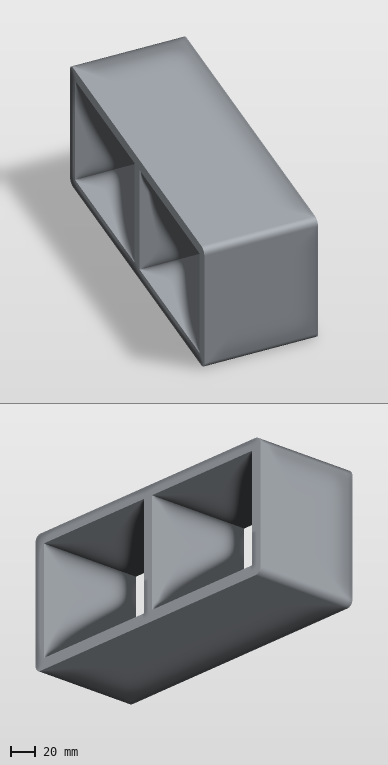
import cadquery as cq

length = 271.0
depth = 100.0
height = 121.0

wall = 10.0
corner_radius = 6.0

bay_count = 2
bay_width = (length - (bay_count + 1) * wall) / bay_count
bay_height = height - 2 * wall
bay_pitch = bay_width + wall

body = cq.Workplane("XY").box(length, depth, height).edges("|Y").fillet(corner_radius)

bays = (
    cq.Workplane("XZ")
    .rarray(bay_pitch, 2.7, bay_count, 1)
    .rect(bay_width, bay_height)
    .extrude(depth, both=True)
)

result = body.cut(bays)